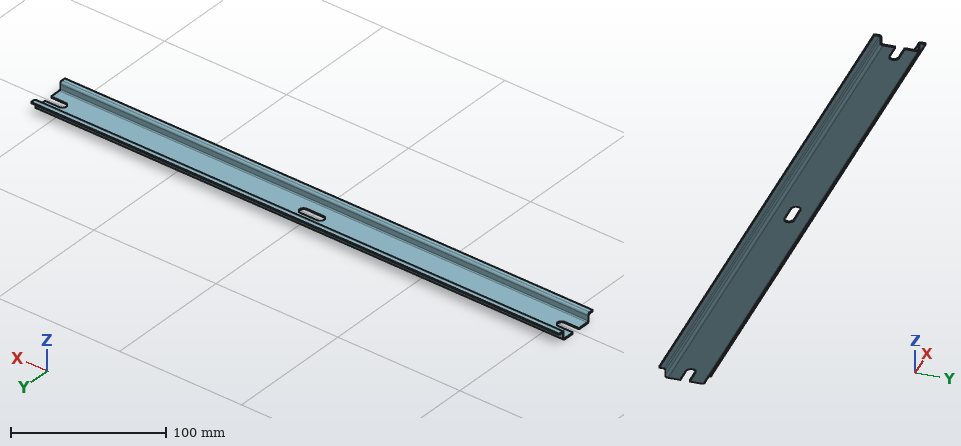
import cadquery as cq

length = 433.0
width = 35.0
height = 7.5
thickness = 1.0
channel_width = 27.0

inner_bend = 0.8
outer_bend = inner_bend + thickness

slot_width = 6.3
slot_length = 20.0
end_slot_depth = 15.0

lip_y = width / 2
outer_wall_y = channel_width / 2
inner_wall_y = outer_wall_y - thickness
lip_underside_z = height - thickness


def bent_edges(body, corner_y, corner_z, radius):
    """Round the pair of lengthwise edges at (+-corner_y, corner_z)."""
    for y in (-corner_y, corner_y):
        edge = cq.selectors.NearestToPointSelector((0, y, corner_z))
        body = body.edges("|X").edges(edge).fillet(radius)
    return body


def rail_body():
    """Sheet-metal hat section: floor, two walls and two outward lips."""
    right_half = [
        (outer_wall_y, 0),
        (outer_wall_y, lip_underside_z),
        (lip_y, lip_underside_z),
        (lip_y, height),
        (inner_wall_y, height),
        (inner_wall_y, thickness),
    ]
    left_half = [(-y, z) for y, z in reversed(right_half)]
    profile = cq.Workplane("YZ").polyline(right_half + left_half).close()
    body = profile.extrude(length / 2, both=True)

    body = bent_edges(body, outer_wall_y, 0, outer_bend)
    body = bent_edges(body, inner_wall_y, thickness, inner_bend)

    body = bent_edges(body, inner_wall_y, height, outer_bend)
    return bent_edges(body, outer_wall_y, lip_underside_z, inner_bend)


def floor_slot(center_x, overall_length):
    """Round-ended cutter along X through the floor."""
    outline = cq.Workplane("XY").center(center_x, 0).slot2D(overall_length, slot_width)
    return outline.extrude(thickness)


result = rail_body().clean().cut(floor_slot(0, slot_length))
for rail_end_x in (-length / 2, length / 2):
    result = result.cut(floor_slot(rail_end_x, 2 * end_slot_depth))